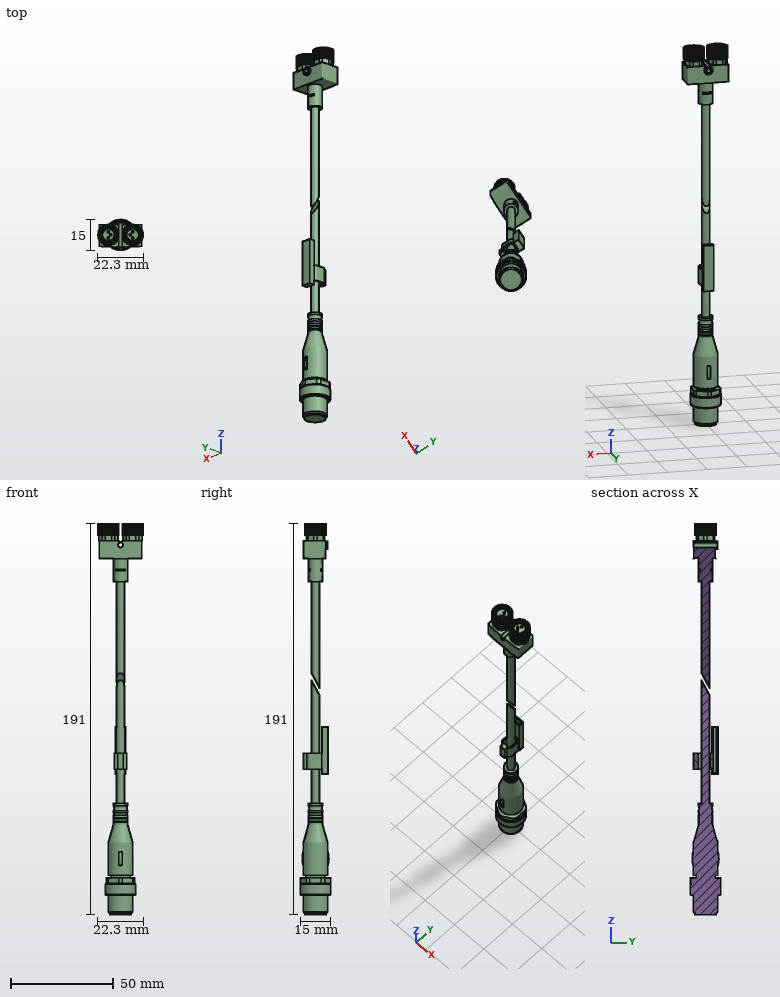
import cadquery as cq
import math

CABLE_DIA = 4.0
CUT_RISE = 7.5
UPPER_CUT_Z = 114.5
LOWER_CUT_Z = 111.0

PLUG_DIA = 12.0
NOSE_DIA = 10.5
NOSE_LENGTH = 0.8
PLUG_CHAMFER_TOP = 1.5
COLLAR_DIA = 15.0
COLLAR_BOTTOM = 9.5
COLLAR_TOP = 15.5
COLLAR_CHAMFER = 0.5
NUT_TOP = 18.1
NUT_CORNER_DIA = 14.9
NUT_FLATS = 13.8
NECK_DIA = 9.5
GRIP_BOTTOM = 19.3
GRIP_TOP = 35.3
CONE_TOP = 44.1
BOOT_DIA = 7.0
BOOT_RIB = 1.1
BOOT_GROOVES = [0.5, 0.5, 1.1, 2.3]
BOOT_GROOVE_DEPTH = 0.4

MARK_Z = 27.5
MARK_LENGTH = 6.9
MARK_WIDTH = 1.7
MARK_HEIGHT = 0.5

CLIP_BOTTOM = 71.0
CLIP_TOP = 79.0
CLIP_WIDTH = 6.3
CLIP_WALL = 0.8
CLIP_BACK_Y = 3.0
CLIP_FRONT_Y = -4.2
CLIP_CORNER = 1.7
CLIP_TAB_WIDTH = 2.9
CLIP_TAB_LENGTH = 1.7
HOLDER_BOTTOM = 68.8
HOLDER_TOP = 91.9
HOLDER_WIDTH = 5.2
HOLDER_THICKNESS = 3.0
HOLDER_WALL = 0.8

TOTAL_HEIGHT = 191.0
SLEEVE_BOTTOM = 162.7
SLEEVE_DIA = 7.0
SLEEVE_SLOT_Z = 168.5
SLEEVE_SLOT_HEIGHT = 0.8
SLEEVE_SLOT_CHORD = 4.5
HOUSING_BOTTOM = 174.0
HOUSING_TOP = 182.8
HOUSING_WIDTH = 20.8
HOUSING_BACK_Y = 5.0
HOUSING_FRONT_Y = -6.0
HOUSING_FLAT_WIDTH = 8.5
HOUSING_END_DROP = 0.4
HOUSING_FILLET = 0.4
SCREW_HOLE_DIA = 2.3
SCREW_HOLE_Z = 180.7
BOSS_Y = 6.0
GROOVE_WIDTH = 2.0
GROOVE_DEPTH = 0.5

SOCKET_X = 6.0
SOCKET_BOTTOM = 185.5
SOCKET_DIA = 10.3
SOCKET_NECK_DIA = 9.5
SOCKET_NECK_FLATS = 9.0
KNURL_COUNT = 24
KNURL_WIDTH = 0.5
KNURL_DEPTH = 0.4
RING_GAP_OUTER_DIA = 8.2
RING_GAP_INNER_DIA = 6.9
RING_GAP_DEPTH = 2.3
FACE_DIA = 6.0
FACE_DEPTH = 0.8
CONTACT_DIA = 1.0
CONTACT_DEPTH = 2.9
CONTACT_OUTER_Y = 1.5
CONTACT_INNER_X = 1.1


def cylinder(diameter, bottom, top, x=0):
    return cq.Workplane("XY", origin=(x, 0, bottom)).circle(diameter / 2).extrude(top - bottom)


def rounded_hexagon(flats, corner_diameter, bottom, top, x=0):
    """Hexagonal prism whose corners are turned down to a diameter."""
    plane = cq.Workplane("XY", origin=(x, 0, bottom))
    hexagon = plane.polygon(6, flats / math.cos(math.pi / 6)).extrude(top - bottom)
    return hexagon.intersect(cylinder(corner_diameter, bottom, top, x))


def cable(bottom, top, cut_z, keep_above):
    """Length of cable ending in a slanted cut at cut_z."""
    edge_y = CABLE_DIA / 2
    far_z = top if keep_above else bottom
    outline = [
        (-edge_y, cut_z + CUT_RISE / 2),
        (edge_y, cut_z - CUT_RISE / 2),
        (edge_y, far_z),
        (-edge_y, far_z),
    ]
    keep = cq.Workplane("YZ", origin=(-edge_y, 0, 0)).polyline(outline).close().extrude(CABLE_DIA)
    return cylinder(CABLE_DIA, bottom, top).intersect(keep)


def plug_profile():
    """Turned plug with its ribbed boot, from the nose up to the cable."""
    plug_r = PLUG_DIA / 2
    collar_r = COLLAR_DIA / 2
    boot_r = BOOT_DIA / 2
    profile = (
        cq.Workplane("XZ")
        .lineTo(NOSE_DIA / 2, 0)
        .lineTo(NOSE_DIA / 2, NOSE_LENGTH)
        .lineTo(plug_r, PLUG_CHAMFER_TOP)
        .lineTo(plug_r, COLLAR_BOTTOM)
        .lineTo(collar_r - COLLAR_CHAMFER, COLLAR_BOTTOM)
        .lineTo(collar_r, COLLAR_BOTTOM + COLLAR_CHAMFER)
        .lineTo(collar_r, COLLAR_TOP - COLLAR_CHAMFER)
        .lineTo(collar_r - COLLAR_CHAMFER, COLLAR_TOP)
        .lineTo(NECK_DIA / 2, COLLAR_TOP)
        .lineTo(NECK_DIA / 2, GRIP_BOTTOM)
        .lineTo(plug_r, GRIP_BOTTOM)
        .lineTo(plug_r, GRIP_TOP)
        .lineTo(boot_r, CONE_TOP)
    )
    z = CONE_TOP + BOOT_RIB
    profile = profile.lineTo(boot_r, z)
    for groove in BOOT_GROOVES:
        profile = profile.threePointArc((boot_r - BOOT_GROOVE_DEPTH, z + groove / 2), (boot_r, z + groove))
        z += groove + BOOT_RIB
        profile = profile.lineTo(boot_r, z)
    return profile.lineTo(0, z).close().revolve(360, (0, 0, 0), (0, 1, 0))


def grip_mark(side):
    """Oval mark domed along its length; side is +1 for +Y and -1 for -Y."""
    surface_y = side * PLUG_DIA / 2
    oval = (
        cq.Workplane("XZ", origin=(0, 0, MARK_Z))
        .slot2D(MARK_LENGTH, MARK_WIDTH, 90)
        .extrude(-side * PLUG_DIA)
    )
    dome = (
        cq.Workplane("YZ", origin=(-MARK_WIDTH / 2, 0, 0))
        .moveTo(0, MARK_Z - MARK_LENGTH / 2)
        .lineTo(surface_y, MARK_Z - MARK_LENGTH / 2)
        .threePointArc((surface_y + side * MARK_HEIGHT, MARK_Z), (surface_y, MARK_Z + MARK_LENGTH / 2))
        .lineTo(0, MARK_Z + MARK_LENGTH / 2)
        .close()
        .extrude(MARK_WIDTH)
    )
    return oval.intersect(dome)


def make_plug():
    nut = rounded_hexagon(NUT_FLATS, NUT_CORNER_DIA, COLLAR_TOP, NUT_TOP)
    nut = nut.rotate((0, 0, 0), (0, 0, 1), 90)
    plug = plug_profile().union(nut)
    for side in (1, -1):
        plug = plug.union(grip_mark(side))
    lower_cable = cable(CONE_TOP, LOWER_CUT_Z + CUT_RISE, LOWER_CUT_Z, keep_above=False)
    return plug.union(lower_cable)


def make_clip_ring():
    """Rounded ring of even wall around the cable, with a tab at the front."""
    depth = CLIP_BACK_Y - CLIP_FRONT_Y
    centre_y = (CLIP_BACK_Y + CLIP_FRONT_Y) / 2
    height = CLIP_TOP - CLIP_BOTTOM
    base = cq.Workplane("XY", origin=(0, centre_y, CLIP_BOTTOM))
    ring = base.rect(CLIP_WIDTH, depth).extrude(height).edges("|Z").fillet(CLIP_CORNER)
    bore = base.rect(CLIP_WIDTH - 2 * CLIP_WALL, depth - 2 * CLIP_WALL).extrude(height)
    bore = bore.edges("|Z").fillet(CLIP_CORNER - CLIP_WALL)

    tab_length = CLIP_TAB_LENGTH + CLIP_WALL / 2
    tab_centre_y = CLIP_FRONT_Y - CLIP_TAB_LENGTH + tab_length / 2
    tab = (
        cq.Workplane("XY", origin=(0, tab_centre_y, CLIP_BOTTOM))
        .rect(CLIP_TAB_WIDTH, tab_length)
        .extrude(height)
    )
    return ring.cut(bore).union(tab)


def make_label_holder():
    """Flat holder with a label pocket open at the top."""
    centre_y = CLIP_BACK_Y + HOLDER_THICKNESS / 2
    holder = (
        cq.Workplane("XY", origin=(0, centre_y, HOLDER_BOTTOM))
        .rect(HOLDER_WIDTH, HOLDER_THICKNESS)
        .extrude(HOLDER_TOP - HOLDER_BOTTOM)
    )
    pocket_bottom = HOLDER_BOTTOM + HOLDER_WALL
    pocket = (
        cq.Workplane("XY", origin=(0, centre_y, pocket_bottom))
        .rect(HOLDER_WIDTH - 2 * HOLDER_WALL, HOLDER_THICKNESS - 2 * HOLDER_WALL)
        .extrude(HOLDER_TOP - pocket_bottom)
    )
    return holder.cut(pocket)


def make_clip():
    return make_clip_ring().union(make_label_holder())


def make_housing_block():
    half = HOUSING_WIDTH / 2
    flat = HOUSING_FLAT_WIDTH / 2
    end_y = HOUSING_FRONT_Y + HOUSING_END_DROP
    middle_x = (half + flat) / 2
    middle_y = HOUSING_FRONT_Y + HOUSING_END_DROP / 4
    block = (
        cq.Workplane("XY", origin=(0, 0, HOUSING_BOTTOM))
        .moveTo(-flat, HOUSING_FRONT_Y)
        .lineTo(flat, HOUSING_FRONT_Y)
        .threePointArc((middle_x, middle_y), (half, end_y))
        .lineTo(half, HOUSING_BACK_Y)
        .lineTo(-half, HOUSING_BACK_Y)
        .lineTo(-half, end_y)
        .threePointArc((-middle_x, middle_y), (-flat, HOUSING_FRONT_Y))
        .close()
        .extrude(HOUSING_TOP - HOUSING_BOTTOM)
    )
    return block.faces("<X or >X").edges().fillet(HOUSING_FILLET)


def add_screw_hole(block):
    """Cross hole with a boss on the +Y side, tangent to the top, and a shallow groove above it."""
    boss_dia = 2 * (HOUSING_TOP - SCREW_HOLE_Z)
    depth = BOSS_Y - HOUSING_FRONT_Y
    back = cq.Workplane("XZ", origin=(0, BOSS_Y, 0))
    boss = back.center(0, SCREW_HOLE_Z).circle(boss_dia / 2).extrude(BOSS_Y)
    hole = back.center(0, SCREW_HOLE_Z).circle(SCREW_HOLE_DIA / 2).extrude(depth)
    groove = (
        back.moveTo(-GROOVE_WIDTH / 2, HOUSING_TOP)
        .threePointArc((0, HOUSING_TOP - GROOVE_DEPTH), (GROOVE_WIDTH / 2, HOUSING_TOP))
        .close()
        .extrude(depth)
    )
    return block.union(boss).cut(hole).cut(groove)


def make_sleeve():
    sleeve = cylinder(SLEEVE_DIA, SLEEVE_BOTTOM, HOUSING_BOTTOM)
    floor_y = math.sqrt(SLEEVE_DIA ** 2 - SLEEVE_SLOT_CHORD ** 2) / 2
    for side in (1, -1):
        slot = cq.Workplane("XY").box(SLEEVE_DIA, SLEEVE_DIA, SLEEVE_SLOT_HEIGHT)
        sleeve = sleeve.cut(slot.translate((0, side * (floor_y + SLEEVE_DIA / 2), SLEEVE_SLOT_Z)))
    return sleeve


def make_socket(side):
    """Knurled socket on a hexagonal neck; side is +1 for +X and -1 for -X."""
    x = side * SOCKET_X
    top = cq.Workplane("XY", origin=(x, 0, TOTAL_HEIGHT))
    knurls = (
        top.polarArray(SOCKET_DIA / 2, 180 / KNURL_COUNT, 360, KNURL_COUNT)
        .rect(2 * KNURL_DEPTH, KNURL_WIDTH)
        .extrude(SOCKET_BOTTOM - TOTAL_HEIGHT)
    )
    ring_gap = top.circle(RING_GAP_OUTER_DIA / 2).circle(RING_GAP_INNER_DIA / 2).extrude(-RING_GAP_DEPTH)
    face_recess = top.circle(FACE_DIA / 2).extrude(-FACE_DEPTH)
    contact_points = [(0, CONTACT_OUTER_Y), (0, -CONTACT_OUTER_Y), (-side * CONTACT_INNER_X, 0)]
    contacts = top.pushPoints(contact_points).circle(CONTACT_DIA / 2).extrude(-CONTACT_DEPTH)

    knob = cylinder(SOCKET_DIA, SOCKET_BOTTOM, TOTAL_HEIGHT, x)
    knob = knob.cut(knurls).cut(ring_gap).cut(face_recess).cut(contacts)
    return knob.union(rounded_hexagon(SOCKET_NECK_FLATS, SOCKET_NECK_DIA, HOUSING_TOP, SOCKET_BOTTOM, x))


def make_twin_connector():
    body = add_screw_hole(make_housing_block()).union(make_sleeve())
    for side in (1, -1):
        body = body.union(make_socket(side))
    upper_cable = cable(UPPER_CUT_Z - CUT_RISE, HOUSING_BOTTOM, UPPER_CUT_Z, keep_above=True)
    return body.union(upper_cable)


plug = make_plug()
clip = make_clip()
twin_connector = make_twin_connector()

result = cq.Compound.makeCompound([plug.val(), clip.val(), twin_connector.val()])